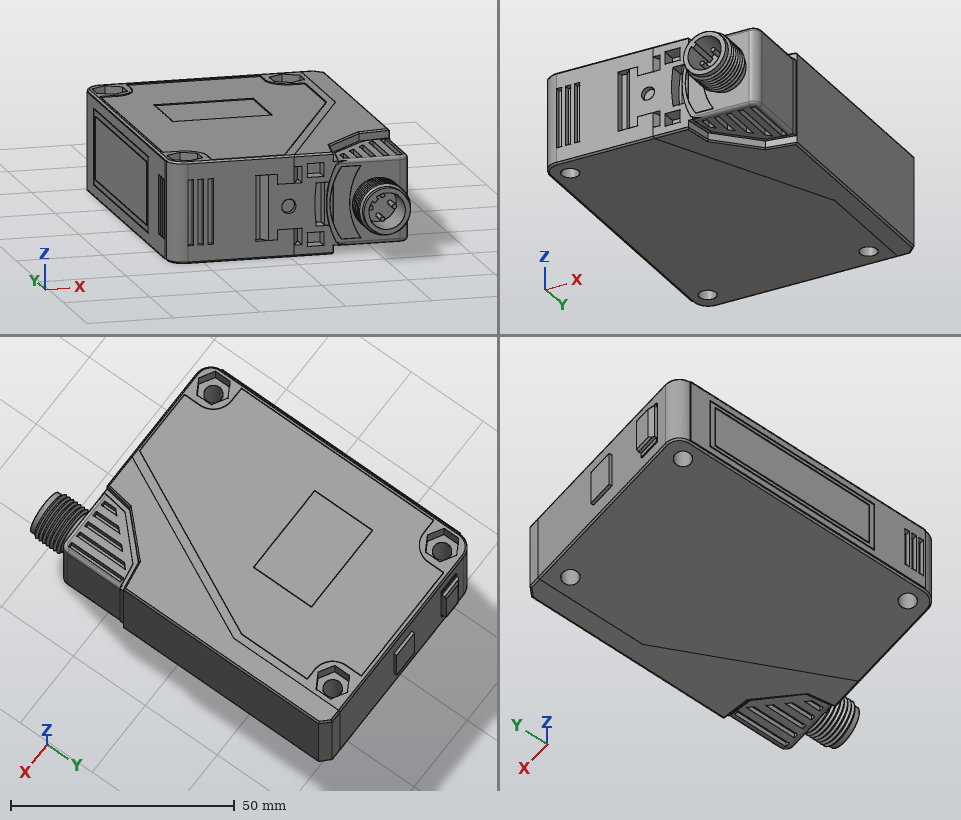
import cadquery as cq
import math

WIDTH = 55.8
HEIGHT = 23.5
TOP = HEIGHT / 2
FRONT = 0.1
BACK = 74.35
EDGE_CHAMFER = 0.4
LEFT_CORNER_RADIUS = 3.95
BACK_RIGHT_CHAMFER = 2.15
OVERRUN = 1.7

PLATE_PROUD = 0.3
PLATE_Y = (FRONT + LEFT_CORNER_RADIUS, BACK - LEFT_CORNER_RADIUS)
WINDOW_Y = (18.4, 64.9)
WINDOW_HALF_HEIGHT = 8.8
WINDOW_FRAME = 1.5
WINDOW_DEPTH = 0.2

SPLIT_X_BACK = 50.6
SPLIT_KINK_Y = 44.8
SPLIT_X_FRONT = 28.8

HOLE_LEFT_X = 4.9
HOLE_RIGHT_X = 46.0
HOLE_FRONT_Y = 5.25
HOLE_BACK_Y = 68.85
HOLE_POSITIONS = [
    (HOLE_LEFT_X, HOLE_FRONT_Y),
    (HOLE_LEFT_X, HOLE_BACK_Y),
    (HOLE_RIGHT_X, HOLE_BACK_Y),
]
HOLE_DIAMETER = 4.3
HEX_FLATS = 7.05
HEX_TURN = 30
HEX_DEPTH = 3.8
PAD_RADIUS = 5.1
RECESS_DEPTH = 0.3
RECESS_X = (1.2, 48.7)
RECESS_Y = (0.95, 73.1)
RECESS_KINK_Y = 45.6
RECESS_DIAGONAL_X = 26.8
LABEL_X = (11.2, 34.1)
LABEL_Y = (38.1, 54.15)

GRIP_COUNT = 3
GRIP_WIDTH = 1.3
GRIP_DEPTH = 1.3
FRONT_GRIP_X = 4.2
FRONT_GRIP_PITCH = 2.3
FRONT_GRIP_HALF_HEIGHT = 7.6
SIDE_GRIP_Y = 4.6
SIDE_GRIP_PITCH = 2.0
SIDE_GRIP_HALF_HEIGHT = 6.8

BUTTON_X = (7.1, 12.7)
BUTTON_BASE_HEIGHT = 0.3
BUTTON_HEIGHT = 1.55
BUTTON_SLOPE = 1.4
BUTTON_HALF_HEIGHT = 5.9
BUTTON_CHAMFER = 0.5
BUTTON_BASE_HALF_HEIGHT = 7.4
TAB_X = (23.7, 30.4)
TAB_HEIGHT = 0.8
TAB_HALF_HEIGHT = BUTTON_HALF_HEIGHT

LATCH_DEPTH = 1.7
LATCH_POCKET_X = 19.9
LATCH_TOE_X = 21.3
LATCH_HEAD_X = 22.9
LATCH_STEM_X = 24.9
LATCH_ROOT_X = 30.95
LATCH_HEAD_HALF = 7.6
LATCH_STEM_HALF = 5.25
NOTCH_X = (28.4, 30.6)
NOTCH_TOP = 9.0
NOTCH_DEPTH = 3.9
LATCH_HOLE_X = 27.6
LATCH_HOLE_DIAMETER = 3.3
LATCH_HOLE_DEPTH = 1.3

POCKET_DEPTH = 3.4
SQUARE_X = (31.9, 35.8)
SQUARE_Z = (6.4, 9.5)
ARC_POCKET_X = (33.95, 36.0)
ARC_POCKET_BULGE = 0.35
ARC_POCKET_HALF = 5.0
ARC_POCKET_LIP = 37.8
ARC_POCKET_LIP_DEPTH = 0.4

CORNER_OUTLINE = [(WIDTH, 17.9), (48.4, 16.7), (39.0, 7.2), (37.9, FRONT)]
CORNER_RIM_CHAMFER = 0.35
BLOCK_RIGHT_X = 55.5
BLOCK_OUTLINE = [(BLOCK_RIGHT_X, 16.7), (49.1, 15.6), (40.1, 6.7), (39.0, 0)]
BLOCK_HALF_HEIGHT = TOP - 1.8
LEDGE_HALF_HEIGHT = TOP - 2.1
BLOCK_EDGE_RADIUS = 0.9
BLOCK_CORNER_RADIUS = 2.15
FACE_THICKNESS = 1.7
FACE_ARC_END = (38.6, 9.0)
FACE_ARC_MID_X = 36.4
DIAL_HALF_HEIGHT = 8.3
DIAL_OUTER_ARC = (39.8, 37.1)
DIAL_INNER_ARC = (44.3, 41.7)
DIAL_DEPTH = 0.2

VENT_COUNT = 5
VENT_FIRST_X = 41.3
VENT_PITCH = 3.1
VENT_WIDTH = 1.2
VENT_DEPTH = 1.7
VENT_Y = (1.5, 15.9)
VENT_DIAGONAL = 36.1

CONNECTOR_X = 47.6
CONNECTOR_LENGTH = 10.1
NECK_DIAMETER = 10.15
NECK_LENGTH = 1.8
THREAD_DIAMETER = 11.9
THREAD_ROOT_DIAMETER = 10.75
THREAD_PITCH = 1.0
THREAD_COUNT = 7
BORE_DIAMETER = 8.4
BORE_DEPTH = 7.7
KEY_WIDTH = 1.2
KEY_HEIGHT = 0.7
KEY_ANGLE = 135
PIN_DIAMETER = 1.0
PIN_CIRCLE_RADIUS = 2.75
PIN_LENGTH = 3.9
PIN_COUNT = 4


def box(x, y, z):
    """Box from a low and a high limit along each axis."""
    size = [high - low for low, high in (x, y, z)]
    return cq.Workplane().box(*size, centered=False).translate((x[0], y[0], z[0]))


def prism(points, half_height):
    """Vertical prism, symmetric about the mid-height plane."""
    return cq.Workplane().polyline(points).close().extrude(half_height, both=True)


def front_plane(y):
    """Workplane at depth y with local axes X and Z; a negative extrusion runs toward +Y."""
    return cq.Workplane("XZ", origin=(0, y, 0))


def case_blank():
    """Chamfered case with rounded left corners and a plate standing proud of the left side."""
    blank = box((PLATE_PROUD, WIDTH), (FRONT, BACK), (-TOP, TOP))
    blank = blank.edges("|Z and <X").fillet(LEFT_CORNER_RADIUS)
    blank = blank.edges("|Z and >X and >Y").chamfer(BACK_RIGHT_CHAMFER)
    blank = blank.faces("<Z or >Z").chamfer(EDGE_CHAMFER)
    plate_top = TOP - EDGE_CHAMFER
    return blank.union(box((0, LEFT_CORNER_RADIUS), PLATE_Y, (-plate_top, plate_top)))


def cover_side():
    """Region right of the kinked split surface."""
    far_x = WIDTH + OVERRUN
    slope = (SPLIT_X_BACK - SPLIT_X_FRONT) / SPLIT_KINK_Y
    points = [
        (SPLIT_X_FRONT - slope * OVERRUN, -OVERRUN),
        (SPLIT_X_BACK, SPLIT_KINK_Y),
        (SPLIT_X_BACK, BACK + OVERRUN),
        (far_x, BACK + OVERRUN),
        (far_x, -OVERRUN),
    ]
    return prism(points, HEIGHT)


def latch_stem():
    stem_y = (FRONT, FRONT + LATCH_DEPTH)
    return box((LATCH_STEM_X, LATCH_ROOT_X), stem_y, (-LATCH_STEM_HALF, LATCH_STEM_HALF))


def latch():
    """T-shaped tongue with a slanted hook face on its head."""
    back_y = FRONT + LATCH_DEPTH
    head = prism(
        [(LATCH_HEAD_X, FRONT), (LATCH_STEM_X, FRONT), (LATCH_STEM_X, back_y), (LATCH_TOE_X, back_y)],
        LATCH_HEAD_HALF,
    )
    return head.union(latch_stem())


def latch_cavity():
    """Opening in the housing for the latch, with free space in front of the hook."""
    head = box(
        (LATCH_POCKET_X, LATCH_STEM_X),
        (FRONT - OVERRUN, FRONT + LATCH_DEPTH),
        (-LATCH_HEAD_HALF, LATCH_HEAD_HALF),
    )
    return head.union(latch_stem())


def screw_holes():
    hex_circumscribed = HEX_FLATS / math.cos(math.pi / 6)
    holes = cq.Workplane().pushPoints(HOLE_POSITIONS).circle(HOLE_DIAMETER / 2).extrude(HEIGHT, both=True)
    for x, y in HOLE_POSITIONS:
        nut = cq.Workplane().polygon(6, hex_circumscribed).extrude(HEX_DEPTH + OVERRUN)
        nut = nut.rotate((0, 0, 0), (0, 0, 1), HEX_TURN)
        holes = holes.union(nut.translate((x, y, TOP - HEX_DEPTH)))
    return holes


def top_recess():
    """Shallow recess that leaves pads around the screw holes, plus the deeper label field."""
    left, right = RECESS_X
    front, back = RECESS_Y
    floor = TOP - RECESS_DEPTH
    outline = [
        (left, front),
        (RECESS_DIAGONAL_X, front),
        (right, RECESS_KINK_Y),
        (right, back),
        (left, back),
    ]
    recess = cq.Workplane(origin=(0, 0, floor)).polyline(outline).close().extrude(OVERRUN)
    for x, y in HOLE_POSITIONS:
        toward_x = -1 if x == HOLE_LEFT_X else 1
        toward_y = -1 if y == HOLE_FRONT_Y else 1
        reach = 2 * PAD_RADIUS
        round_pad = cq.Workplane(origin=(x, y, floor)).circle(PAD_RADIUS).extrude(OVERRUN)
        side_x = cq.Workplane(origin=(x + toward_x * PAD_RADIUS, y, floor)).rect(reach, reach)
        side_y = cq.Workplane(origin=(x, y + toward_y * PAD_RADIUS, floor)).rect(reach, reach)
        recess = recess.cut(round_pad).cut(side_x.extrude(OVERRUN)).cut(side_y.extrude(OVERRUN))
    return recess.union(box(LABEL_X, LABEL_Y, (floor - RECESS_DEPTH, TOP)))


def window_frame():
    """Frame-shaped groove in the left plate."""
    front, back = WINDOW_Y
    inner_half = WINDOW_HALF_HEIGHT - WINDOW_FRAME
    outer = box((0, WINDOW_DEPTH), WINDOW_Y, (-WINDOW_HALF_HEIGHT, WINDOW_HALF_HEIGHT))
    inner = box((0, WINDOW_DEPTH), (front + WINDOW_FRAME, back - WINDOW_FRAME), (-inner_half, inner_half))
    return outer.cut(inner)


def grip_slots():
    slots = cq.Workplane()
    for i in range(GRIP_COUNT):
        x = FRONT_GRIP_X + i * FRONT_GRIP_PITCH
        y = SIDE_GRIP_Y + i * SIDE_GRIP_PITCH
        front_z = (-FRONT_GRIP_HALF_HEIGHT, FRONT_GRIP_HALF_HEIGHT)
        side_z = (-SIDE_GRIP_HALF_HEIGHT, SIDE_GRIP_HALF_HEIGHT)
        slots = slots.add(box((x, x + GRIP_WIDTH), (FRONT, FRONT + GRIP_DEPTH), front_z))
        slots = slots.add(box((0, GRIP_DEPTH), (y, y + GRIP_WIDTH), side_z))
    return slots.combine()


def back_button():
    """Sloped button with chamfered ends on a thin base."""
    left, right = BUTTON_X
    inside = BACK - OVERRUN
    base_z = (-BUTTON_BASE_HALF_HEIGHT, BUTTON_BASE_HALF_HEIGHT)
    base = box(BUTTON_X, (inside, BACK + BUTTON_BASE_HEIGHT), base_z)
    button = prism(
        [
            (left, inside),
            (right, inside),
            (right, BACK + BUTTON_HEIGHT),
            (left + BUTTON_SLOPE, BACK + BUTTON_HEIGHT),
            (left, BACK + BUTTON_HEIGHT / 2),
        ],
        BUTTON_HALF_HEIGHT,
    )
    button = button.faces(">Y").edges("|X").chamfer(BUTTON_CHAMFER)
    return base.union(button)


def back_tab():
    return box(TAB_X, (BACK - OVERRUN, BACK + TAB_HEIGHT), (-TAB_HALF_HEIGHT, TAB_HALF_HEIGHT))


def mirrored(shape):
    """The shape together with its mirror image about the mid-height plane."""
    return shape.union(shape.mirror("XY"))


def latch_notches():
    """Clearance beside the latch stem, down to the slanted split surface."""
    return mirrored(box(NOTCH_X, (FRONT - OVERRUN, FRONT + NOTCH_DEPTH), (LATCH_STEM_HALF, NOTCH_TOP)))


def latch_hole():
    hole = front_plane(FRONT).center(LATCH_HOLE_X, 0).circle(LATCH_HOLE_DIAMETER / 2)
    return hole.extrude(-LATCH_HOLE_DEPTH)


def front_pockets():
    """Two square pockets and one arc-sided pocket with a shallow lip."""
    left, right = ARC_POCKET_X
    half = ARC_POCKET_HALF
    squares = mirrored(box(SQUARE_X, (FRONT, FRONT + POCKET_DEPTH), SQUARE_Z))
    arc_pocket = front_plane(FRONT).moveTo(right, -half).lineTo(left, -half)
    arc_pocket = arc_pocket.threePointArc((left - ARC_POCKET_BULGE, 0), (left, half)).lineTo(right, half)
    arc_pocket = arc_pocket.close().extrude(-POCKET_DEPTH)
    lip = box((right, ARC_POCKET_LIP), (FRONT, FRONT + ARC_POCKET_LIP_DEPTH), (-half, half))
    return squares.union(arc_pocket).union(lip)


def corner_cut():
    """Corner removed for the connector block, with a chamfered rim at top and bottom."""
    front_x = CORNER_OUTLINE[-1][0]
    far_x = WIDTH + OVERRUN
    points = [(far_x, CORNER_OUTLINE[0][1]), *CORNER_OUTLINE, (front_x, -OVERRUN), (far_x, -OVERRUN)]
    rim = cq.Workplane(origin=(0, 0, TOP - CORNER_RIM_CHAMFER)).polyline(points).close()
    rim = rim.extrude(CORNER_RIM_CHAMFER, taper=-45)
    return prism(points, HEIGHT).union(mirrored(rim))


def vents():
    """Parallel vent slots, all ending on one slanted line."""
    front, back = VENT_Y
    floor = BLOCK_HALF_HEIGHT - VENT_DEPTH
    limit_outline = [
        (front + VENT_DIAGONAL, front),
        (WIDTH, front),
        (WIDTH, back),
        (back + VENT_DIAGONAL, back),
    ]
    limit = prism(limit_outline, TOP)
    slots = cq.Workplane()
    for i in range(VENT_COUNT):
        x = VENT_FIRST_X + i * VENT_PITCH
        slots = slots.add(box((x - VENT_WIDTH / 2, x + VENT_WIDTH / 2), VENT_Y, (floor, TOP)))
    return mirrored(slots.combine().intersect(limit))


def dial_recess():
    """Shallow band between two arcs on the block front."""
    half = DIAL_HALF_HEIGHT
    outer_end, outer_mid = DIAL_OUTER_ARC
    inner_end, inner_mid = DIAL_INNER_ARC
    band = front_plane(0).moveTo(outer_end, -half).threePointArc((outer_mid, 0), (outer_end, half))
    band = band.lineTo(inner_end, half).threePointArc((inner_mid, 0), (inner_end, -half))
    return band.close().extrude(-DIAL_DEPTH)


def connector_block():
    """Rounded block in the cover corner, with its ledge, arc-edged front face, vents and dial."""
    block = prism([*BLOCK_OUTLINE, (BLOCK_RIGHT_X, 0)], BLOCK_HALF_HEIGHT)
    block = block.edges("|Z and >X and <Y").fillet(BLOCK_CORNER_RADIUS)
    block = block.faces("<Y").edges(">Z or <Z").fillet(BLOCK_EDGE_RADIUS)

    ledge_right = BLOCK_RIGHT_X - BLOCK_EDGE_RADIUS
    block_back_y = BLOCK_OUTLINE[0][1]
    ledge_points = [
        (BLOCK_RIGHT_X, block_back_y),
        (BLOCK_RIGHT_X, CORNER_OUTLINE[0][1]),
        *CORNER_OUTLINE[1:],
        (BLOCK_OUTLINE[-1][0] + BLOCK_EDGE_RADIUS, FRONT),
        (ledge_right, BLOCK_CORNER_RADIUS),
        (ledge_right, block_back_y),
    ]
    ledge = prism(ledge_points, LEDGE_HALF_HEIGHT)

    end_x, end_z = FACE_ARC_END
    face = front_plane(0).moveTo(end_x, -end_z).threePointArc((FACE_ARC_MID_X, 0), (end_x, end_z))
    face = face.lineTo(CONNECTOR_X, end_z).lineTo(CONNECTOR_X, -end_z).close().extrude(-FACE_THICKNESS)
    return block.union(ledge).union(face).cut(vents()).cut(dial_recess())


def connector():
    """Threaded sleeve with a keyed bore and contact pins, pointing toward -Y."""
    neck = NECK_DIAMETER / 2
    root = THREAD_ROOT_DIAMETER / 2
    crest = THREAD_DIAMETER / 2
    profile = [(0, FACE_THICKNESS), (neck, FACE_THICKNESS), (neck, -NECK_LENGTH), (root, -NECK_LENGTH)]
    for i in range(THREAD_COUNT):
        start = -NECK_LENGTH - i * THREAD_PITCH
        profile += [(crest, start - THREAD_PITCH / 2), (root, start - THREAD_PITCH)]
    profile += [(root, -CONNECTOR_LENGTH), (0, -CONNECTOR_LENGTH)]
    sleeve = cq.Workplane().polyline(profile).close().revolve(360, (0, 0, 0), (0, 1, 0))
    tip = front_plane(-CONNECTOR_LENGTH)
    sleeve = sleeve.cut(tip.circle(BORE_DIAMETER / 2).extrude(-BORE_DEPTH))

    key_outer = BORE_DIAMETER / 2 + KEY_HEIGHT / 2
    key_inner = BORE_DIAMETER / 2 - KEY_HEIGHT
    key_y = (-CONNECTOR_LENGTH, BORE_DEPTH - CONNECTOR_LENGTH)
    key = box((key_inner, key_outer), key_y, (-KEY_WIDTH / 2, KEY_WIDTH / 2))
    sleeve = sleeve.union(key.rotate((0, 0, 0), (0, 1, 0), -KEY_ANGLE))

    bore_floor = front_plane(BORE_DEPTH - CONNECTOR_LENGTH)
    pins = bore_floor.polarArray(PIN_CIRCLE_RADIUS, 0, 360, PIN_COUNT).circle(PIN_DIAMETER / 2)
    sleeve = sleeve.union(pins.extrude(PIN_LENGTH))
    return sleeve.translate((CONNECTOR_X, 0, 0))


def build_housing():
    housing = case_blank().cut(cover_side()).cut(latch_cavity())
    housing = housing.cut(screw_holes()).cut(top_recess())
    housing = housing.cut(window_frame()).cut(grip_slots())
    return housing.union(back_button()).union(back_tab())


def build_cover():
    cover = case_blank().intersect(cover_side()).cut(corner_cut())
    cover = cover.cut(latch_notches()).union(latch())
    cover = cover.cut(latch_hole()).cut(front_pockets())
    return cover.union(connector_block()).union(connector())


housing = build_housing()
cover = build_cover()
result = cq.Compound.makeCompound([housing.val(), cover.val()])